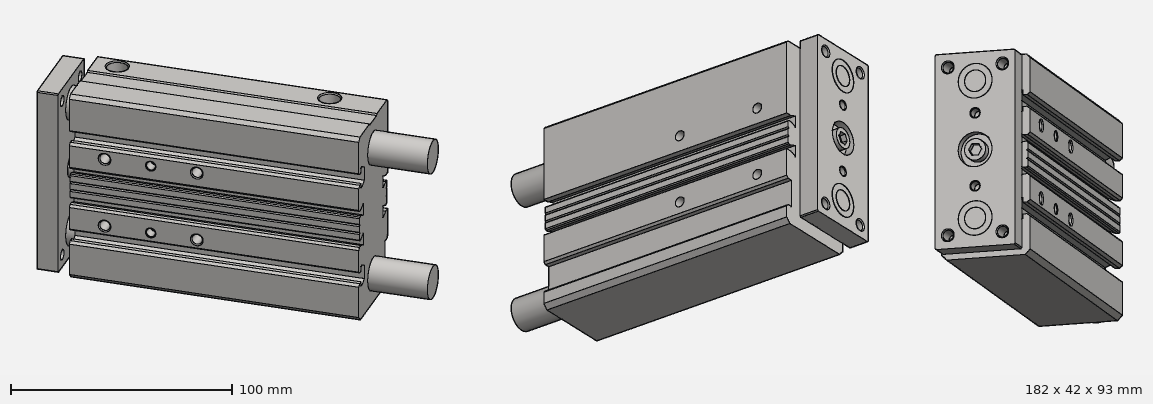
import cadquery as cq
import math


HOUSING_START = 16.0
HOUSING_LENGTH = 137.6
HOUSING_WIDTH = 42.0
HOUSING_HEIGHT = 93.0
TOP_CHAMFER = 1.8
BOTTOM_CHAMFER = 2.4
PORT_EDGE_CHAMFER = 1.1

TOP_GROOVE_WIDTH = 11.0
TOP_GROOVE_DEPTH = 0.7
TOP_GROOVE_FLOOR = 9.8

T_SLOT_Z = 25.0
T_SLOT_OPENING = 5.5
T_SLOT_WIDTH = 9.8
T_SLOT_FLOOR = 6.7
T_SLOT_LIP = 3.5
T_SLOT_TAPER_START = 5.1
T_SLOT_DEPTH = 8.2
T_SLOT_CHAMFER_DEPTH = 1.5
LIP_CHAMFER = 1.1
WIDE_SLOT_TOP = -23.8
WIDE_SLOT_BOTTOM = -37.3
WIDE_SLOT_DEPTH = 3.6

LAND_HEIGHT = 12.0
LAND_DROP = 1.1
LAND_CHAMFER = 0.5
SENSOR_SLOT_OPENING = 3.1
SENSOR_SLOT_NECK = 3.1
SENSOR_SLOT_FLOOR = 5.8
SENSOR_SLOT_DEPTH = 6.7
LAND_GROOVE_Z = 2.0
LAND_GROOVE_WIDTH = 1.1
LAND_GROOVE_DEPTH = 0.5

SIDE_HOLE_Z = 17.0
SIDE_HOLE_X = (32.8, 76.6)
SIDE_PIN_X = sum(SIDE_HOLE_X) / 2
SCREW_HOLE_DIAMETER = 5.0
SCREW_HOLE_MOUTH = 6.0
PIN_HOLE_DIAMETER = 4.2
PIN_HOLE_MOUTH = 5.0
PIN_HOLE_DEPTH = 6.0
DRILL_TIP_ANGLE = 118

PORT_X = (27.5, 128.5)
PORT_Y = 13.5
PORT_MOUTH = 11.0
PORT_DIAMETER = 9.8
PORT_DEPTH = 7.3
PORT_PASSAGE_DIAMETER = 3.5
PORT_PASSAGE_DEPTH = 5.5

TOTAL_LENGTH = 182.0
GUIDE_DIAMETER = 16.0
GUIDE_Z = 31.8
GUIDE_TIP_DIAMETER = 10.0
GUIDE_TIP_LENGTH = 0.2
PISTON_ROD_DIAMETER = 11.0
PISTON_HEAD_DIAMETER = 10.0
PISTON_SOCKET_CORNERS = 6.2
PISTON_SOCKET_DEPTH = 3.0

PLATE_THICKNESS = 10.0
PLATE_WIDTH = 38.0
PLATE_HEIGHT = 90.5
PLATE_CHAMFER = 0.5
PLATE_PIN_Z = SIDE_HOLE_Z
PLATE_SCREW_Y = 13.0
PLATE_SCREW_Z = 39.0
PISTON_RECESS_DIAMETER = GUIDE_DIAMETER
PISTON_RECESS_DEPTH = 4.4

HOUSING_END = HOUSING_START + HOUSING_LENGTH
PISTON_ROD_END = HOUSING_START + HOUSING_LENGTH / 2
HALF_WIDTH = HOUSING_WIDTH / 2
HALF_HEIGHT = HOUSING_HEIGHT / 2


def cylinder_x(diameter, start, end, z):
    """Round bar along X on the middle plane Y = 0."""
    return cq.Workplane("YZ", origin=(start, 0, z)).circle(diameter / 2).extrude(end - start)


def along_housing(outline):
    """Extrude a closed list of (Y, Z) points over the housing's length."""
    return cq.Workplane("YZ", origin=(HOUSING_START, 0, 0)).polyline(outline).close().extrude(HOUSING_LENGTH)


def housing_block():
    y, z = HALF_WIDTH, HALF_HEIGHT
    b, t, p = BOTTOM_CHAMFER, TOP_CHAMFER, PORT_EDGE_CHAMFER
    return along_housing([
        (-y, -z + b), (-y + b, -z), (y - b, -z), (y, -z + b),
        (y, z - p), (y - p, z), (-y + t, z), (-y, z - t),
    ])


def top_groove():
    half = TOP_GROOVE_WIDTH / 2
    floor_half = TOP_GROOVE_FLOOR / 2
    floor = HALF_HEIGHT - TOP_GROOVE_DEPTH
    return along_housing([(-floor_half, floor), (floor_half, floor), (half, HALF_HEIGHT), (-half, HALF_HEIGHT)])


def t_slot(z):
    mouth = T_SLOT_OPENING / 2
    half = T_SLOT_WIDTH / 2
    profile = [
        (0, mouth + LIP_CHAMFER), (T_SLOT_CHAMFER_DEPTH, mouth), (T_SLOT_LIP, mouth),
        (T_SLOT_LIP, half), (T_SLOT_TAPER_START, half), (T_SLOT_DEPTH, T_SLOT_FLOOR / 2),
    ]
    upper = [(-HALF_WIDTH + depth, z + dz) for depth, dz in profile]
    lower = [(-HALF_WIDTH + depth, z - dz) for depth, dz in reversed(profile)]
    return along_housing(upper + lower)


def wide_slot():
    y, c = HALF_WIDTH, LIP_CHAMFER
    floor = y - WIDE_SLOT_DEPTH
    return along_housing([
        (y, WIDE_SLOT_TOP + c), (y - c, WIDE_SLOT_TOP), (floor, WIDE_SLOT_TOP),
        (floor, WIDE_SLOT_BOTTOM), (y - c, WIDE_SLOT_BOTTOM), (y, WIDE_SLOT_BOTTOM - c),
    ])


def sensor_side(side, lip_chamfer):
    """Sunken land with its two sensor slots and two V-grooves, as cutters; side is -1 or 1 along Y."""
    land = LAND_HEIGHT / 2
    slot_end = land + SENSOR_SLOT_OPENING
    slot_middle = (land + slot_end) / 2
    floor_half = SENSOR_SLOT_FLOOR / 2

    def cutter(sign, outline):
        return along_housing([(side * (HALF_WIDTH - depth), sign * z) for depth, z in outline])

    cut = cutter(1, [(0, -slot_end), (0, slot_end), (LAND_DROP, slot_end), (LAND_DROP, -slot_end)])
    for sign in (-1, 1):
        slot = cutter(sign, [
            (LAND_DROP, land - LAND_CHAMFER), (LAND_DROP + LAND_CHAMFER, land), (SENSOR_SLOT_NECK, land),
            (SENSOR_SLOT_DEPTH, slot_middle - floor_half), (SENSOR_SLOT_DEPTH, slot_middle + floor_half),
            (SENSOR_SLOT_NECK, slot_end), (LAND_DROP, slot_end),
        ])
        groove = cutter(sign, [
            (LAND_DROP, LAND_GROOVE_Z - LAND_GROOVE_WIDTH / 2),
            (LAND_DROP + LAND_GROOVE_DEPTH, LAND_GROOVE_Z),
            (LAND_DROP, LAND_GROOVE_Z + LAND_GROOVE_WIDTH / 2),
        ])
        cut = cut.union(slot).union(groove)
        if lip_chamfer:
            cut = cut.union(cutter(sign, [(0, slot_end), (0, slot_end + lip_chamfer), (lip_chamfer, slot_end)]))
    return cut


def drilled_hole(start, direction, diameter, depth):
    """Blind hole with a conical drill tip beyond its full-diameter depth."""
    start, direction = cq.Vector(*start), cq.Vector(*direction)
    radius = diameter / 2
    tip = radius / math.tan(math.radians(DRILL_TIP_ANGLE / 2))
    cone = cq.Solid.makeCone(radius, 0, tip, start + direction * depth, direction)
    return cq.Workplane(cq.Solid.makeCylinder(radius, depth, start, direction)).union(cq.Workplane(cone))


def hole_mouth(start, direction, mouth_diameter, diameter):
    """45 degree countersink that narrows from the mouth to the hole."""
    depth = (mouth_diameter - diameter) / 2
    cone = cq.Solid.makeCone(mouth_diameter / 2, diameter / 2, depth, cq.Vector(*start), cq.Vector(*direction))
    return cq.Workplane(cone)


def screw_hole(start, direction, length):
    """Through hole for a screw, countersunk where it starts."""
    hole = cq.Solid.makeCylinder(SCREW_HOLE_DIAMETER / 2, length, cq.Vector(*start), cq.Vector(*direction))
    return cq.Workplane(hole).union(hole_mouth(start, direction, SCREW_HOLE_MOUTH, SCREW_HOLE_DIAMETER))


def pin_hole(start, direction):
    """Blind hole for a dowel pin, countersunk where it starts."""
    hole = drilled_hole(start, direction, PIN_HOLE_DIAMETER, PIN_HOLE_DEPTH)
    return hole.union(hole_mouth(start, direction, PIN_HOLE_MOUTH, PIN_HOLE_DIAMETER))


def air_port(x):
    down = (0, 0, -1)
    mouth = (x, PORT_Y, HALF_HEIGHT)
    passage = cq.Workplane("XY", origin=mouth).circle(PORT_PASSAGE_DIAMETER / 2)
    return (
        drilled_hole(mouth, down, PORT_DIAMETER, PORT_DEPTH)
        .union(hole_mouth(mouth, down, PORT_MOUTH, PORT_DIAMETER))
        .union(passage.extrude(-PORT_DEPTH - PORT_PASSAGE_DEPTH))
    )


def make_housing():
    housing = housing_block().cut(top_groove()).cut(wide_slot())
    housing = housing.cut(sensor_side(-1, LIP_CHAMFER)).cut(sensor_side(1, 0))
    for sign in (-1, 1):
        housing = housing.cut(t_slot(sign * T_SLOT_Z))
        for x in SIDE_HOLE_X:
            housing = housing.cut(screw_hole((x, -HALF_WIDTH, sign * SIDE_HOLE_Z), (0, 1, 0), HOUSING_WIDTH))
        pin_start = (SIDE_PIN_X, -HALF_WIDTH, sign * SIDE_HOLE_Z)
        housing = housing.cut(pin_hole(pin_start, (0, 1, 0)))
        housing = housing.cut(cylinder_x(GUIDE_DIAMETER, HOUSING_START, HOUSING_END, sign * GUIDE_Z))
    for x in PORT_X:
        housing = housing.cut(air_port(x))
    return housing.cut(cylinder_x(PISTON_ROD_DIAMETER, HOUSING_START, PISTON_ROD_END, 0))


def make_plate():
    plate = cq.Workplane("YZ").rect(PLATE_WIDTH, PLATE_HEIGHT).extrude(PLATE_THICKNESS)
    plate = plate.edges("|X").chamfer(PLATE_CHAMFER)
    plate = plate.cut(cylinder_x(PISTON_RECESS_DIAMETER, 0, PISTON_RECESS_DEPTH, 0))
    plate = plate.cut(cylinder_x(PISTON_HEAD_DIAMETER, 0, PLATE_THICKNESS, 0))
    for z in (-1, 1):
        plate = plate.cut(cylinder_x(GUIDE_DIAMETER, 0, PLATE_THICKNESS, z * GUIDE_Z))
        plate = plate.cut(pin_hole((0, 0, z * PLATE_PIN_Z), (1, 0, 0)))
        for y in (-1, 1):
            start = (0, y * PLATE_SCREW_Y, z * PLATE_SCREW_Z)
            plate = plate.cut(screw_hole(start, (1, 0, 0), PLATE_THICKNESS))
    return plate


def make_guide_rod(z):
    """Guide rod that fills its plate hole, with a low round tip flush with the plate face."""
    rod = cylinder_x(GUIDE_DIAMETER, GUIDE_TIP_LENGTH, TOTAL_LENGTH, z)
    return rod.union(cylinder_x(GUIDE_TIP_DIAMETER, 0, GUIDE_TIP_LENGTH, z))


def make_piston_rod():
    """Piston rod with a narrower head through the plate and a hexagon socket in its end."""
    rod = cylinder_x(PISTON_ROD_DIAMETER, PLATE_THICKNESS, PISTON_ROD_END, 0)
    rod = rod.union(cylinder_x(PISTON_HEAD_DIAMETER, 0, PLATE_THICKNESS, 0))
    return rod.cut(cq.Workplane("YZ").polygon(6, PISTON_SOCKET_CORNERS).extrude(PISTON_SOCKET_DEPTH))


housing = make_housing()
plate = make_plate()
piston_rod = make_piston_rod()
guide_rods = [make_guide_rod(sign * GUIDE_Z) for sign in (-1, 1)]

result = cq.Compound.makeCompound([
    housing.val(),
    plate.val(),
    piston_rod.val(),
    *[rod.val() for rod in guide_rods],
])